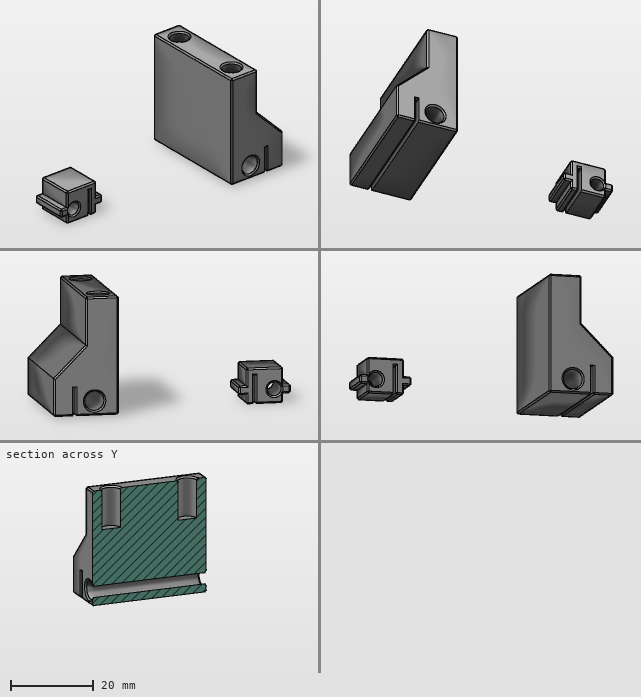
import cadquery as cq
import math

CHAMFER = 0.4
SLOT_WIDTH = 0.7
SHARP_TOLERANCE = 0.005

TOTAL_LENGTH = 60.6
TOTAL_HEIGHT = 29.5
BRACKET_WIDTH = 30.0
BRACKET_HEIGHT = 29.0
UPRIGHT_DEPTH = 8.05
BRACKET_DEPTH = 16.0
FOOT_BACK_HEIGHT = 9.35
SLOPE_RISE = BRACKET_DEPTH - UPRIGHT_DEPTH
BRACKET_BOTTOM = TOTAL_HEIGHT - BRACKET_HEIGHT
BRACKET_BACK = TOTAL_LENGTH
BRACKET_FRONT = BRACKET_BACK - BRACKET_DEPTH
UPRIGHT_BACK = BRACKET_FRONT + UPRIGHT_DEPTH
BRACKET_SLOT_OFFSET = 10.25
BRACKET_SLOT_HEIGHT = 7.1
BRACKET_BORE_DIAMETER = 4.7
CROSS_BORE_OFFSET = 5.95
CROSS_BORE_HEIGHT = 3.5
TOP_HOLE_SPACING = 20
TOP_HOLE_DEPTH = 10.0

BLOCK_WIDTH = 9.9
BLOCK_DEPTH = 9.1
BLOCK_HEIGHT = 8.8
BLOCK_CENTER_X = -0.27
TAB_LENGTH = 1.9
TAB_HEIGHT = 2.2
TAB_BOTTOM = 2.3
TAB_TOP = TAB_BOTTOM + TAB_HEIGHT
BLOCK_FRONT = TAB_LENGTH
BLOCK_BACK = BLOCK_FRONT + BLOCK_DEPTH
BLOCK_SLOT_OFFSET = 6.4
BLOCK_SLOT_HEIGHT = 6.95
BLOCK_BORE_DIAMETER = 3.4
BLOCK_BORE_OFFSET = 2.1
BLOCK_BORE_HEIGHT = 3.45


def prism(outline, width, center_x):
    """Extrude a closed (Y, Z) outline along X, centred on center_x."""
    return (
        cq.Workplane("YZ", origin=(center_x - width / 2, 0, 0))
        .polyline(outline)
        .close()
        .extrude(width)
    )


def bevel_except(body, sharp_corners, sharp_sides):
    """Chamfer every edge of a prism except those left sharp.

    sharp_corners holds the (Y, Z) places of sharp edges that run along X.
    sharp_sides holds the (Y, Z) midpoints of sharp edges on the two end faces.
    """
    def is_sharp(edge):
        middle = edge.Center()
        runs_along_x = edge.BoundingBox().xlen > SHARP_TOLERANCE
        sharp_points = sharp_corners if runs_along_x else sharp_sides
        return any(
            math.hypot(middle.y - y, middle.z - z) < SHARP_TOLERANCE
            for y, z in sharp_points
        )

    edges = [edge for edge in body.edges().vals() if not is_sharp(edge)]
    return body.newObject(edges).chamfer(CHAMFER)


def midpoint(start, end):
    """Point halfway between two (Y, Z) points."""
    return ((start[0] + end[0]) / 2, (start[1] + end[1]) / 2)


def hole_tool(diameter, length):
    """Cylinder going down from its chamfered mouth at the origin."""
    radius = diameter / 2
    mouth = radius + CHAMFER
    return (
        cq.Workplane("XZ")
        .polyline([(0, 0), (mouth, 0), (radius, -CHAMFER), (radius, -length), (0, -length)])
        .close()
        .revolve(360, (0, 0, 0), (0, 1, 0))
    )


def cross_bore(diameter, width, center_x, y, z):
    """Bore along X through a body, chamfered at both ends."""
    half = hole_tool(diameter, width / 2)
    right = half.rotate((0, 0, 0), (0, 1, 0), 90).translate((center_x + width / 2, y, z))
    left = half.rotate((0, 0, 0), (0, 1, 0), -90).translate((center_x - width / 2, y, z))
    return right.union(left)


def make_bracket():
    """Bracket with a slotted foot, a cross bore and two blind holes in its top."""
    bottom = BRACKET_BOTTOM
    slot_front = BRACKET_FRONT + BRACKET_SLOT_OFFSET
    slot_back = slot_front + SLOT_WIDTH
    slot_top = bottom + BRACKET_SLOT_HEIGHT
    slope_bottom = (BRACKET_BACK, bottom + FOOT_BACK_HEIGHT)
    slope_top = (UPRIGHT_BACK, bottom + FOOT_BACK_HEIGHT + SLOPE_RISE)
    slot_mouth = (slot_front, bottom)
    slot_corners = [(slot_front, slot_top), (slot_back, slot_top)]
    outline = [
        (BRACKET_FRONT, bottom),
        slot_mouth,
        *slot_corners,
        (slot_back, bottom),
        (BRACKET_BACK, bottom),
        slope_bottom,
        slope_top,
        (UPRIGHT_BACK, TOTAL_HEIGHT),
        (BRACKET_FRONT, TOTAL_HEIGHT),
    ]
    body = bevel_except(
        prism(outline, BRACKET_WIDTH, 0),
        sharp_corners=[slot_mouth, *slot_corners, slope_bottom, slope_top],
        sharp_sides=[midpoint(slot_mouth, slot_corners[0]), midpoint(*slot_corners)],
    )
    body = body.cut(
        cross_bore(
            BRACKET_BORE_DIAMETER,
            BRACKET_WIDTH,
            0,
            BRACKET_FRONT + CROSS_BORE_OFFSET,
            bottom + CROSS_BORE_HEIGHT,
        )
    )
    top_hole = hole_tool(BRACKET_BORE_DIAMETER, TOP_HOLE_DEPTH)
    for side in (-1, 1):
        place = (side * TOP_HOLE_SPACING / 2, BRACKET_FRONT + UPRIGHT_DEPTH / 2, TOTAL_HEIGHT)
        body = body.cut(top_hole.translate(place))
    return body


def make_clamp_block():
    """Slotted block with two tabs and a cross bore."""
    slot_front = BLOCK_FRONT + BLOCK_SLOT_OFFSET
    slot_back = slot_front + SLOT_WIDTH
    slot_mouth = (slot_front, 0)
    slot_corners = [(slot_front, BLOCK_SLOT_HEIGHT), (slot_back, BLOCK_SLOT_HEIGHT)]
    tab_roots = [(y, z) for y in (BLOCK_FRONT, BLOCK_BACK) for z in (TAB_BOTTOM, TAB_TOP)]
    front_root_low, front_root_high, back_root_low, back_root_high = tab_roots
    outline = [
        (BLOCK_FRONT, 0),
        slot_mouth,
        *slot_corners,
        (slot_back, 0),
        (BLOCK_BACK, 0),
        back_root_low,
        (BLOCK_BACK + TAB_LENGTH, TAB_BOTTOM),
        (BLOCK_BACK + TAB_LENGTH, TAB_TOP),
        back_root_high,
        (BLOCK_BACK, BLOCK_HEIGHT),
        (BLOCK_FRONT, BLOCK_HEIGHT),
        front_root_high,
        (BLOCK_FRONT - TAB_LENGTH, TAB_TOP),
        (BLOCK_FRONT - TAB_LENGTH, TAB_BOTTOM),
        front_root_low,
    ]
    body = bevel_except(
        prism(outline, BLOCK_WIDTH, BLOCK_CENTER_X),
        sharp_corners=[slot_mouth, *slot_corners, *tab_roots],
        sharp_sides=[midpoint(slot_mouth, slot_corners[0])],
    )
    bore = cross_bore(
        BLOCK_BORE_DIAMETER,
        BLOCK_WIDTH,
        BLOCK_CENTER_X,
        BLOCK_FRONT + BLOCK_BORE_OFFSET,
        BLOCK_BORE_HEIGHT,
    )
    return body.cut(bore)


bracket = make_bracket()
clamp_block = make_clamp_block()
result = cq.Compound.makeCompound([bracket.val(), clamp_block.val()])